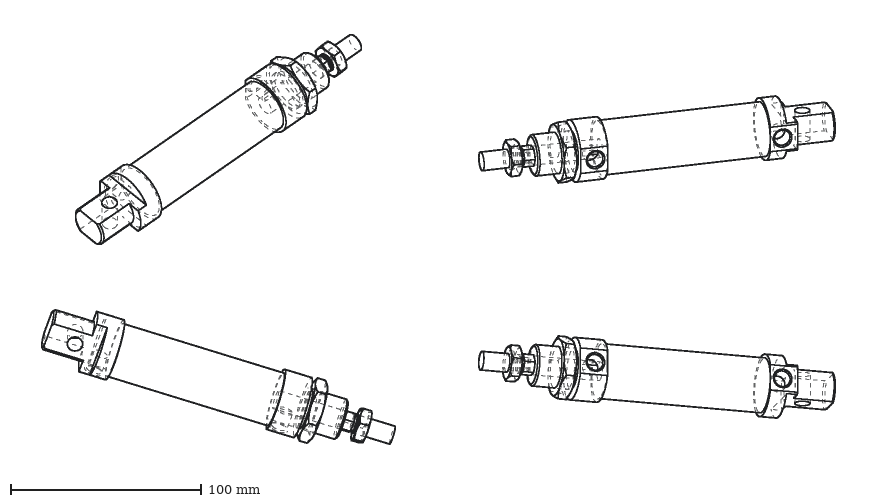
import cadquery as cq
import math


total_length = 191.0
cap_length = 14.9
rear_cap_start = 22.2
rear_cap_end = rear_cap_start + cap_length
rear_step_y = 28.0
front_cap_start = 126.3
front_cap_end = front_cap_start + cap_length
collar_end = 163.1
rod_hex_end = 168.8
rod_thread_start = 170.2

tube_diameter = 29.0
cap_diameter = 33.0
collar_diameter = 22.0
end_chamfer = 1.0
tail_thickness = 16.0
pin_hole_diameter = 8.0
pin_hole_y = 15.0

port_diameter = 8.5
port_chamfer = 0.8
port_inset = 6.7
port_floor_x = -4.8

rod_diameter = 10.0
rod_hex_flats = 9.7
neck_diameter = 8.4

mount_nut_flats = 30.0
mount_nut_start = 143.2
mount_nut_length = 6.9
rod_nut_flats = 17.0
rod_nut_start = 171.0
rod_nut_length = 6.0
nut_chamfer_angle = 30.0

cap_flat_x = -mount_nut_flats / 2


def hexagon_corners(flats):
    """Distance across the corners of a hexagon with the given width across flats."""
    return flats / math.cos(math.radians(30))


def cylinder(diameter, start_y, end_y):
    """Round bar on the Y axis between two stations."""
    return (
        cq.Workplane("XZ", origin=(0, start_y, 0))
        .circle(diameter / 2)
        .extrude(start_y - end_y)
    )


def hexagon_bar(flats, start_y, end_y, corner_angle):
    """Hexagonal bar on the Y axis; a corner angle of 0 puts corners on X, 90 puts them on Z."""
    bar = (
        cq.Workplane("XZ", origin=(0, start_y, 0))
        .polygon(6, hexagon_corners(flats))
        .extrude(start_y - end_y)
    )
    return bar.rotate((0, 0, 0), (0, 1, 0), corner_angle)


def make_nut(flats, bore, start_y, length, corner_angle):
    """Hexagon nut with the corners of both end faces turned down to the inscribed circle."""
    end_y = start_y + length
    blank = hexagon_bar(flats, start_y, end_y, corner_angle)
    face_radius = flats / 2
    corner_radius = hexagon_corners(flats) / 2
    drop = (corner_radius - face_radius) * math.tan(math.radians(nut_chamfer_angle))
    turned_envelope = (
        cq.Workplane("XY")
        .polyline([
            (0, start_y),
            (face_radius, start_y),
            (corner_radius, start_y + drop),
            (corner_radius, end_y - drop),
            (face_radius, end_y),
            (0, end_y),
        ])
        .close()
        .revolve(360, (0, 0, 0), (0, 1, 0))
    )
    return blank.intersect(turned_envelope).cut(cylinder(bore, start_y, end_y))


def make_cap(start_y):
    """Round end cap with one flat facing -X for its port."""
    cap = cylinder(cap_diameter, start_y, start_y + cap_length)
    kept_side = cq.Workplane("XY").box(
        cap_diameter, cap_length, cap_diameter, centered=(False, False, True)
    ).translate((cap_flat_x, start_y, 0))
    return cap.intersect(kept_side)


def port_cutter(center_y):
    """Blind flat-bottomed port with a countersunk mouth on the cap flat."""
    radius = port_diameter / 2
    mouth_radius = radius + port_chamfer
    return (
        cq.Workplane("XY")
        .polyline([
            (cap_flat_x, center_y),
            (cap_flat_x, center_y + mouth_radius),
            (cap_flat_x + port_chamfer, center_y + radius),
            (port_floor_x, center_y + radius),
            (port_floor_x, center_y),
        ])
        .close()
        .revolve(360, (0, center_y, 0), (1, center_y, 0))
    )


def make_housing():
    """Tube with both caps, the mounting collar in front and the flattened tail behind."""
    tail = cylinder(collar_diameter, 0, rear_cap_start).faces("<Y").chamfer(end_chamfer)
    collar = cylinder(collar_diameter, front_cap_end, collar_end).faces(">Y").chamfer(end_chamfer)
    body = (
        cylinder(tube_diameter, rear_cap_end, front_cap_start)
        .union(make_cap(rear_cap_start))
        .union(make_cap(front_cap_start))
        .union(tail)
        .union(collar)
    )

    for side in (1, -1):
        flat_cutter = cq.Workplane("XY").box(
            2 * cap_diameter, rear_step_y, cap_diameter, centered=(True, False, True)
        ).translate((0, 0, side * (tail_thickness + cap_diameter) / 2))
        body = body.cut(flat_cutter)

    pin_hole = (
        cq.Workplane("XY", origin=(0, pin_hole_y, -tail_thickness / 2))
        .circle(pin_hole_diameter / 2)
        .extrude(tail_thickness)
    )
    body = body.cut(pin_hole)

    for port_y in (rear_cap_end - port_inset, front_cap_start + port_inset):
        body = body.cut(port_cutter(port_y))

    return body.cut(cylinder(rod_diameter, front_cap_start, collar_end))


def make_piston_rod():
    """Rod with wrench hexagon, undercut neck and threaded tip."""
    return (
        cylinder(rod_diameter, front_cap_start, collar_end)
        .union(hexagon_bar(rod_hex_flats, collar_end, rod_hex_end, 0))
        .union(cylinder(neck_diameter, rod_hex_end, rod_thread_start))
        .union(cylinder(rod_diameter, rod_thread_start, total_length))
    )


housing = make_housing()
piston_rod = make_piston_rod()
mount_nut = make_nut(mount_nut_flats, collar_diameter, mount_nut_start, mount_nut_length, 90)
rod_nut = make_nut(rod_nut_flats, rod_diameter, rod_nut_start, rod_nut_length, 0)

result = cq.Compound.makeCompound([
    housing.val(),
    piston_rod.val(),
    mount_nut.val(),
    rod_nut.val(),
])